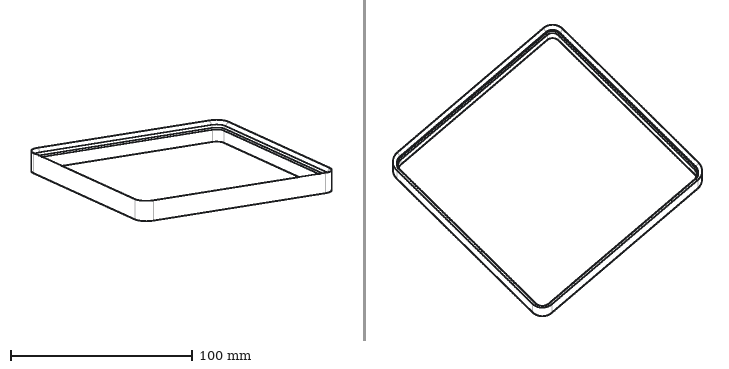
import cadquery as cq

side = 125.0
height = 11.8
corner_radius = 7.5

upper_bevel = 2.1
step_height = 1.8
lower_bevel = 0.9

step_top = height - upper_bevel
step_bottom = step_top - step_height
bore_top = step_bottom - lower_bevel
bore_inset = upper_bevel + lower_bevel


def rounded_square(inset, z):
    """Face at height z, offset inward from the outer outline with concentric corners."""
    width = side - 2 * inset
    return (
        cq.Sketch()
        .rect(width, width)
        .vertices()
        .fillet(corner_radius - inset)
        .moved(cq.Location(cq.Vector(0, 0, z)))
    )


def straight_block(inset, z_bottom, z_top):
    """Rounded square block with vertical sides."""
    return cq.Workplane("XY").placeSketch(rounded_square(inset, z_bottom)).extrude(z_top - z_bottom)


def flared_block(inset_bottom, inset_top, z_bottom, z_top):
    """Rounded square block that widens from bottom to top."""
    return (
        cq.Workplane("XY")
        .placeSketch(rounded_square(inset_bottom, z_bottom), rounded_square(inset_top, z_top))
        .loft(ruled=True)
    )


result = (
    straight_block(0, 0, height)
    .cut(straight_block(bore_inset, 0, bore_top))
    .cut(flared_block(bore_inset, upper_bevel, bore_top, step_bottom))
    .cut(straight_block(upper_bevel, step_bottom, step_top))
    .cut(flared_block(upper_bevel, 0, step_top, height))
)